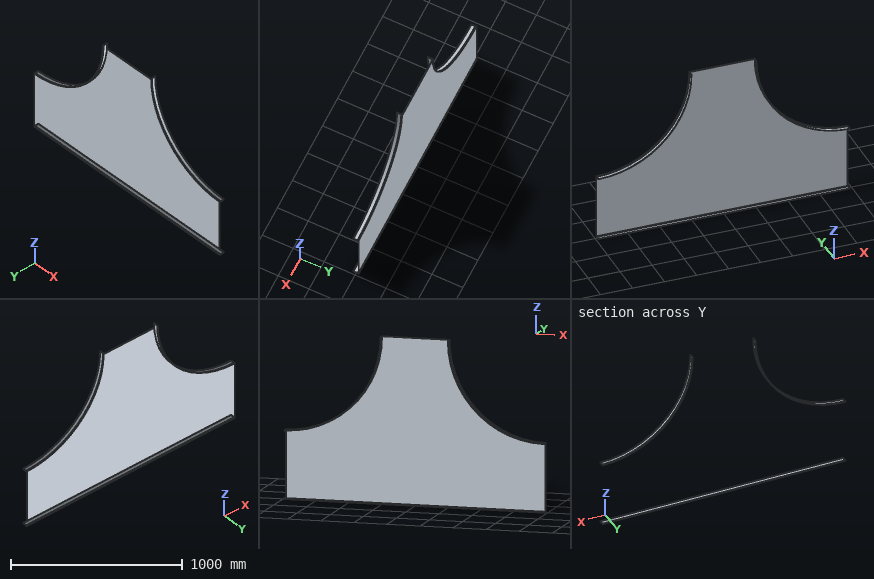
import cadquery as cq

length = 1570.0
depth = 35.0
height = 989.5

sheet = 1.0
corner_radius = 580.5

lip_depth = 8.0
inner_bend = 1.0
outer_bend = inner_bend + sheet

rail_back = outer_bend

half_length = length / 2
bend_diagonal = 0.5 ** 0.5


def lip_section(plane):
    """Cross-section of bend and lip; local x runs in from the plate's edge, local y is 0 at the back."""
    outer_mid = outer_bend * (1 - bend_diagonal)
    inner_mid = outer_bend - inner_bend * bend_diagonal
    return (
        cq.Workplane(plane)
        .moveTo(outer_bend, 0)
        .threePointArc((outer_mid, -outer_mid), (0, -outer_bend))
        .lineTo(0, -lip_depth)
        .lineTo(sheet, -lip_depth)
        .lineTo(sheet, -outer_bend)
        .threePointArc((inner_mid, -inner_mid), (outer_bend, -sheet))
        .close()
    )


def rail_section(plane):
    """Cross-section of a rail: a flat strip against the inner face of the lip."""
    return (
        cq.Workplane(plane)
        .moveTo(sheet, -rail_back)
        .lineTo(2 * sheet, -rail_back)
        .lineTo(2 * sheet, -depth)
        .lineTo(sheet, -depth)
        .close()
    )


def bottom_run(section):
    """Carry a cross-section along the full length of the bottom edge."""
    plane = cq.Plane(origin=(-half_length, depth, 0), xDir=(0, 0, 1), normal=(-1, 0, 0))
    return section(plane).extrude(-length)


def corner_run(section, side):
    """Carry a cross-section a quarter turn around a round corner (side +1 right, -1 left)."""
    edge_x = side * (half_length - corner_radius)
    plane = cq.Plane(origin=(edge_x, depth, height), xDir=(-side, 0, 0), normal=(0, 0, -side))
    return section(plane).revolve(90, (-corner_radius, 0), (-corner_radius, -side))


def flat_tee():
    """Flat part of the plate, up to the start of the bends."""
    flat = cq.Workplane("XY", origin=(0, depth - sheet, outer_bend)).box(
        length, sheet, height - outer_bend, centered=(True, False, False)
    )
    corners = (
        cq.Workplane("XZ", origin=(0, depth, height))
        .pushPoints([(-half_length, 0), (half_length, 0)])
        .circle(corner_radius + outer_bend)
        .extrude(sheet)
    )
    return flat.cut(corners)


def tee_plate():
    """Tee-shaped plate with a bent lip along its bottom edge and both round corners."""
    plate = flat_tee().union(bottom_run(lip_section))
    for side in (-1, 1):
        plate = plate.union(corner_run(lip_section, side))
    return plate.clean().solids()


plate = tee_plate()
bottom_rail = bottom_run(rail_section)
curved_rails = [corner_run(rail_section, side) for side in (-1, 1)]

result = cq.Compound.makeCompound(
    [plate.val(), bottom_rail.val(), *[rail.val() for rail in curved_rails]]
)